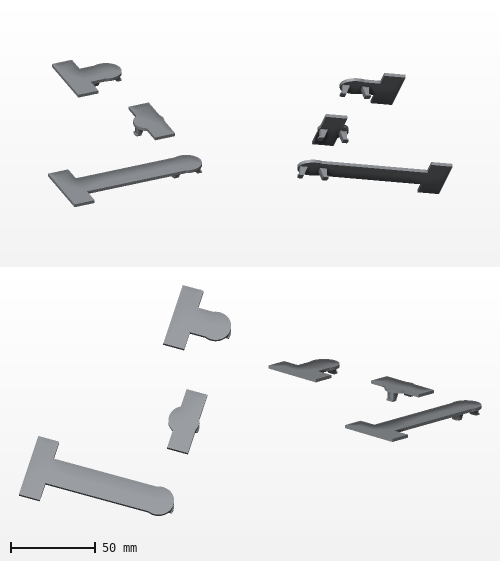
import cadquery as cq

TOTAL_LENGTH = 159.7
TOTAL_DEPTH = 89.8
TOTAL_HEIGHT = 7.5

PLATE_THICKNESS = 1.9
BAR_LENGTH = 40.1
BAR_DEPTH = 13.0
STEM_WIDTH = 17.0
HEAD_RADIUS = 9.3

LEG_WIDTH = 5.1
LEG_INSET = 1.0
LEG_ROOT_OFFSET = 3.7
LEG_TIP_OFFSET = 5.9
LIP_HEIGHT = 1.0

SHORT_BAR_FRONT = 53.3
SHORT_HEAD_Y = 79.7
CROSS_CENTER_X = 84.8
CROSS_BAR_FRONT = 75.2
CROSS_HEAD_Y = 79.7
LONG_BAR_FRONT = 0.0
LONG_HEAD_Y = TOTAL_DEPTH - HEAD_RADIUS

LEG_LENGTH = TOTAL_HEIGHT - PLATE_THICKNESS


def plate_block(center_x, front_y, width, depth):
    """Rectangular piece of plate, with its underside at Z = 0."""
    return (
        cq.Workplane("XY")
        .box(width, depth, PLATE_THICKNESS, centered=(True, False, False))
        .translate((center_x, front_y, 0))
    )


def leg_profile(side):
    """Tapered leg with a flat sloping inner face; side is +1 (rear) or -1 (front)."""
    return (
        cq.Workplane("YZ")
        .polyline([
            (side * LEG_ROOT_OFFSET, 0),
            (side * HEAD_RADIUS, 0),
            (side * HEAD_RADIUS, -LEG_LENGTH),
            (side * LEG_TIP_OFFSET, -LEG_LENGTH),
        ])
        .close()
        .extrude(LEG_WIDTH / 2, both=True)
    )


def snap_legs():
    """Two opposed legs whose outer faces and lips are round about the head axis."""
    shank = cq.Workplane("XY").circle(HEAD_RADIUS - LEG_INSET).extrude(-LEG_LENGTH)
    lip = (
        cq.Workplane("XY")
        .workplane(offset=-LEG_LENGTH)
        .circle(HEAD_RADIUS)
        .extrude(LIP_HEIGHT)
    )
    envelope = shank.union(lip)
    legs = leg_profile(1).union(leg_profile(-1))
    return legs.intersect(envelope)


def clip_head(center_x, center_y):
    """Round head with its snap legs underneath."""
    disc = cq.Workplane("XY").circle(HEAD_RADIUS).extrude(PLATE_THICKNESS)
    return disc.union(snap_legs()).translate((center_x, center_y, 0))


def stemmed_clip(center_x, bar_front, head_y):
    """T-shaped plate: a crossbar joined by a stem to a round head."""
    bar = plate_block(center_x, bar_front, BAR_LENGTH, BAR_DEPTH)
    stem = plate_block(center_x, bar_front, STEM_WIDTH, head_y - bar_front)
    return bar.union(stem).union(clip_head(center_x, head_y))


def cross_clip(center_x, bar_front, head_y):
    """Crossbar lying directly over a round head, without a stem."""
    bar = plate_block(center_x, bar_front, BAR_LENGTH, BAR_DEPTH)
    return bar.union(clip_head(center_x, head_y))


short_clip = stemmed_clip(BAR_LENGTH / 2, SHORT_BAR_FRONT, SHORT_HEAD_Y)
middle_clip = cross_clip(CROSS_CENTER_X, CROSS_BAR_FRONT, CROSS_HEAD_Y)
long_clip = stemmed_clip(TOTAL_LENGTH - BAR_LENGTH / 2, LONG_BAR_FRONT, LONG_HEAD_Y)

result = cq.Compound.makeCompound([short_clip.val(), middle_clip.val(), long_clip.val()])